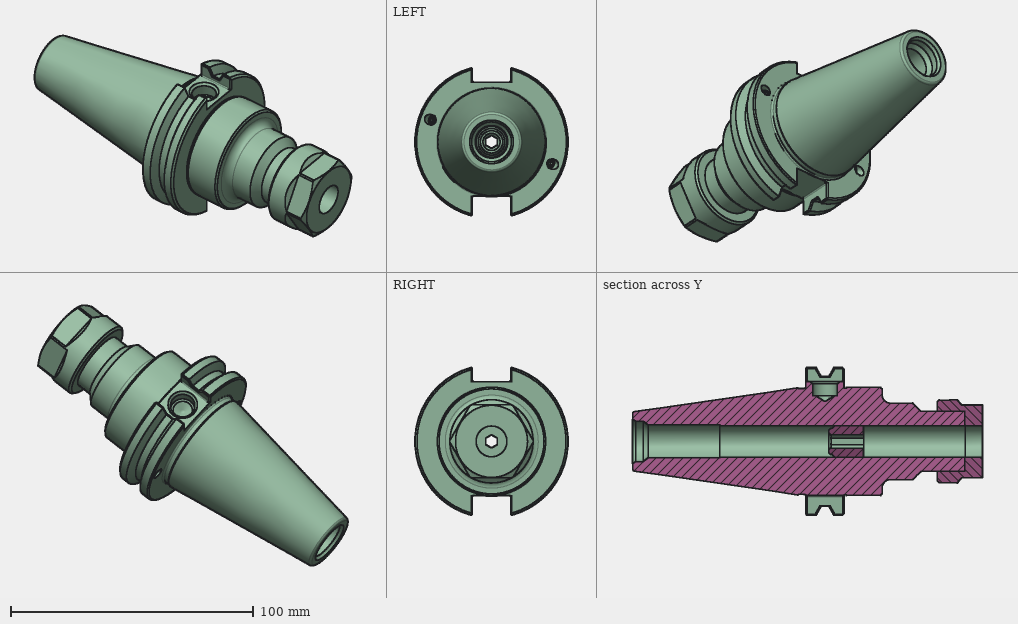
import cadquery as cq
import math

LENGTH = 144.5

TAPER_LENGTH = 68.2
GAUGE_RADIUS = 22.2
TAPER_RATIO = 7 / 24
SMALL_END_RADIUS = GAUGE_RADIUS - TAPER_LENGTH * TAPER_RATIO / 2
SMALL_END_FILLET = 1.0
RELIEF_START = 68.6
RELIEF_RADIUS = 22.0
RELIEF_FILLET = 0.7

FLANGE_START = 71.5
FLANGE_END = 87.4
FLANGE_RADIUS = 31.6
FLANGE_REAR_CHAMFER = 0.5
FLANGE_REAR_DROP = 0.7
FLANGE_FRONT_CHAMFER = 0.9
GROOVE_CENTER = 79.5
GROOVE_ROOT_RADIUS = 28.2
GROOVE_ROOT_WIDTH = 3.3
GROOVE_HALF_ANGLE = 30.0

SLOT_WIDTH = 15.7
SLOT_UPPER_FLOOR = 24.7
SLOT_LOWER_FLOOR = 22.4
SLOTS = ((1, SLOT_UPPER_FLOOR), (-1, SLOT_LOWER_FLOOR))
SLOT_CORNER_RADIUS = 0.5
SLOT_EDGE_CHAMFER = 0.6

POCKET_DIAMETER = 10.1
POCKET_MOUTH_DIAMETER = 12.1
POCKET_STEP_DIAMETER = 8.0
POCKET_DEPTH = 5.8
DRILL_TIP_HALF_ANGLE = 59.0

BODY_RELIEF_END = 88.3
BODY_RELIEF_RADIUS = 22.1
BODY_RADIUS = 22.4
BODY_END = 103.1
BODY_CHAMFER = 0.7
STEP_RADIUS = 15.9
STEP_FILLET = 3.3
STEP_END = 115.7
NECK_RADIUS = 25.0 / 2

BORE_DIAMETER = 13.5
PILOT_DIAMETER = 16.5
PILOT_END = 4.5
BORE_CONE_END = 6.5
BORE_STEP = 36.1
SCREW_BORE_DIAMETER = 12.7
MOUTH_DIAMETER = 18.0
MOUTH_CONE_DEPTH = 1.5

NUT_START = 125.7
NUT_RADIUS = 17.2
NUT_REAR_CHAMFER = 0.9
NUT_ACROSS_FLATS = 30.2
FLAT_START = 135.8
FLAT_RUNOUT = 1.7
LONG_FLAT_INDEX = 5
LONG_FLAT_EXTRA = 1.5
NUT_END_RADIUS = 14.9
NUT_END_CHAMFER = 1.3
NUT_THREAD_END = 137.2

STOP_START = 80.9
STOP_LENGTH = 14.5
STOP_POINT_DIAMETER = 11.0
STOP_POINT_LENGTH = 1.5
STOP_FACE_DIAMETER = 9.2
STOP_SINK_DIAMETER = 7.1
STOP_HEX = 4.6

COOLANT_DIAMETER = 4.2
COOLANT_RADIAL_PLACE = 26.9
COOLANT_ANGLE = 20.0
COOLANT_TILT = 30.0
SCREW_RECESS = 1.9
SCREW_LENGTH = 4.3
SCREW_CHAMFER = 0.5
SCREW_HEX = 2.0
SCREW_HEX_DEPTH = 2.0

HOLE_COUNT = 2
HEX_SIDES = 6


def hex_diameter(across_flats):
    """Circumscribed diameter of a hexagon."""
    return across_flats / math.cos(math.pi / HEX_SIDES)


def revolve_profile(profile):
    """Turn a closed (X, radius) profile about the X axis."""
    return profile.close().revolve(360, (0, 0, 0), (1, 0, 0))


def cylinder_x(start, end, diameter):
    """Cylinder on the X axis."""
    return cq.Workplane("YZ", origin=(start, 0, 0)).circle(diameter / 2).extrude(end - start)


def shank_blank():
    """Turned outside of the holder, from the taper to the threaded neck."""
    cylinder_start = BODY_END + STEP_FILLET
    fillet_mid = STEP_FILLET * math.sqrt(0.5)
    relief_drop = RELIEF_FILLET * math.sqrt(0.5)
    profile = (
        cq.Workplane("XY")
        .moveTo(0, 0)
        .lineTo(0, SMALL_END_RADIUS)
        .lineTo(TAPER_LENGTH, GAUGE_RADIUS)
        .lineTo(RELIEF_START, RELIEF_RADIUS)
        .lineTo(FLANGE_START - RELIEF_FILLET, RELIEF_RADIUS)
        .threePointArc(
            (FLANGE_START - RELIEF_FILLET + relief_drop, RELIEF_RADIUS + RELIEF_FILLET - relief_drop),
            (FLANGE_START, RELIEF_RADIUS + RELIEF_FILLET),
        )
        .lineTo(FLANGE_START, BODY_RELIEF_RADIUS)
        .lineTo(BODY_RELIEF_END, BODY_RELIEF_RADIUS)
        .lineTo(BODY_RELIEF_END, BODY_RADIUS)
        .lineTo(BODY_END - BODY_CHAMFER, BODY_RADIUS)
        .lineTo(BODY_END, BODY_RADIUS - BODY_CHAMFER)
        .lineTo(BODY_END, STEP_RADIUS + STEP_FILLET)
        .threePointArc(
            (cylinder_start - fillet_mid, STEP_RADIUS + STEP_FILLET - fillet_mid),
            (cylinder_start, STEP_RADIUS),
        )
        .lineTo(STEP_END, STEP_RADIUS)
        .lineTo(STEP_END + STEP_RADIUS - NECK_RADIUS, NECK_RADIUS)
        .lineTo(NUT_THREAD_END, NECK_RADIUS)
        .lineTo(NUT_THREAD_END, 0)
    )
    return revolve_profile(profile).faces("<X").edges().fillet(SMALL_END_FILLET)


def flange_blank():
    """Turned flange with its V groove and square rims."""
    root_half = GROOVE_ROOT_WIDTH / 2
    wall = (FLANGE_RADIUS - GROOVE_ROOT_RADIUS) * math.tan(math.radians(GROOVE_HALF_ANGLE))
    profile = (
        cq.Workplane("XY")
        .moveTo(FLANGE_START, 0)
        .lineTo(FLANGE_START, FLANGE_RADIUS)
        .lineTo(GROOVE_CENTER - root_half - wall, FLANGE_RADIUS)
        .lineTo(GROOVE_CENTER - root_half, GROOVE_ROOT_RADIUS)
        .lineTo(GROOVE_CENTER + root_half, GROOVE_ROOT_RADIUS)
        .lineTo(GROOVE_CENTER + root_half + wall, FLANGE_RADIUS)
        .lineTo(FLANGE_END, FLANGE_RADIUS)
        .lineTo(FLANGE_END, 0)
    )
    return revolve_profile(profile)


def rim_limit():
    """Chamfered envelope that bevels the two outer rims of the flange."""
    profile = (
        cq.Workplane("XY")
        .moveTo(FLANGE_START, 0)
        .lineTo(FLANGE_START, FLANGE_RADIUS - FLANGE_REAR_DROP)
        .lineTo(FLANGE_START + FLANGE_REAR_CHAMFER, FLANGE_RADIUS)
        .lineTo(FLANGE_END - FLANGE_FRONT_CHAMFER, FLANGE_RADIUS)
        .lineTo(FLANGE_END, FLANGE_RADIUS - FLANGE_FRONT_CHAMFER)
        .lineTo(FLANGE_END, 0)
    )
    return revolve_profile(profile)


def slot_edges(body, wall, side, floor):
    """Edges around one slot wall at Y = wall, without the edge along the floor."""
    margin = SLOT_CORNER_RADIUS / 10
    inner = floor + margin
    box = cq.selectors.BoxSelector(
        (FLANGE_START - margin, wall - margin, side * inner),
        (FLANGE_END + margin, wall + margin, side * FLANGE_RADIUS),
    )
    return body.edges(box)


def floor_edge(body, wall, side, floor):
    """Edge where one slot wall meets the slot floor."""
    return body.edges(cq.selectors.NearestToPointSelector((GROOVE_CENTER, wall, side * floor)))


def flange():
    """Grooved flange with its two drive slots, chamfered around every slot wall."""
    body = flange_blank()
    for side, floor in SLOTS:
        body = body.cut(drive_slot(side, floor))
        for wall in (-SLOT_WIDTH / 2, SLOT_WIDTH / 2):
            body = slot_edges(body, wall, side, floor).chamfer(SLOT_EDGE_CHAMFER)
            body = floor_edge(body, wall, side, floor).fillet(SLOT_CORNER_RADIUS)
    return body.intersect(rim_limit())


def drive_slot(side, floor):
    """Cutter for one slot; side is +1 for +Z and -1 for -Z."""
    depth = FLANGE_RADIUS - floor
    return (
        cq.Workplane("XY")
        .box(FLANGE_END - FLANGE_START, SLOT_WIDTH, depth)
        .translate(((FLANGE_START + FLANGE_END) / 2, 0, side * (floor + depth / 2)))
    )


def pocket():
    """Cutter for the chamfered blind hole in the upper slot floor."""
    radius = POCKET_DIAMETER / 2
    mouth = POCKET_MOUTH_DIAMETER / 2
    step = POCKET_STEP_DIAMETER / 2
    bottom = SLOT_UPPER_FLOOR - POCKET_DEPTH
    tip = bottom - step / math.tan(math.radians(DRILL_TIP_HALF_ANGLE))
    return (
        cq.Workplane("XZ", origin=(GROOVE_CENTER, 0, 0))
        .moveTo(0, SLOT_UPPER_FLOOR)
        .lineTo(mouth, SLOT_UPPER_FLOOR)
        .lineTo(radius, SLOT_UPPER_FLOOR - (mouth - radius))
        .lineTo(radius, bottom)
        .lineTo(step, bottom)
        .lineTo(0, tip)
        .close()
        .revolve(360, (0, 0, 0), (0, 1, 0))
    )


def axial_bore():
    """Cutter for the stepped bore through the holder."""
    profile = (
        cq.Workplane("XY")
        .moveTo(0, 0)
        .lineTo(0, MOUTH_DIAMETER / 2)
        .lineTo(MOUTH_CONE_DEPTH, PILOT_DIAMETER / 2)
        .lineTo(PILOT_END, PILOT_DIAMETER / 2)
        .lineTo(BORE_CONE_END, BORE_DIAMETER / 2)
        .lineTo(BORE_STEP, BORE_DIAMETER / 2)
        .lineTo(BORE_STEP, SCREW_BORE_DIAMETER / 2)
        .lineTo(NUT_THREAD_END, SCREW_BORE_DIAMETER / 2)
        .lineTo(NUT_THREAD_END, 0)
    )
    return revolve_profile(profile)


def coolant_plane(index, depth):
    """Plane across a coolant hole at a depth along its tilted axis."""
    turn = math.radians(COOLANT_ANGLE + 360 / HOLE_COUNT * index)
    tilt = math.radians(COOLANT_TILT)
    radial = cq.Vector(0, math.cos(turn), math.sin(turn))
    axis = cq.Vector(math.cos(tilt), 0, 0) - radial * math.sin(tilt)
    mouth = cq.Vector(FLANGE_START, 0, 0) + radial * COOLANT_RADIAL_PLACE
    return cq.Plane(mouth + axis * depth, xDir=radial.cross(axis), normal=axis)


def coolant_hole(index):
    """Cutter for one coolant hole, ending at the inner end of its set screw."""
    depth = SCREW_RECESS + SCREW_LENGTH
    return (
        cq.Workplane(coolant_plane(index, -COOLANT_DIAMETER))
        .circle(COOLANT_DIAMETER / 2)
        .extrude(depth + COOLANT_DIAMETER)
    )


def make_holder():
    holder = shank_blank().union(flange())
    holder = holder.cut(axial_bore()).cut(pocket())
    for index in range(HOLE_COUNT):
        holder = holder.cut(coolant_hole(index))
    return holder


def make_set_screw(index):
    """Set screw with a hexagon socket, seated in a coolant hole."""
    screw = (
        cq.Workplane(coolant_plane(index, SCREW_RECESS))
        .circle(COOLANT_DIAMETER / 2)
        .extrude(SCREW_LENGTH)
        .edges()
        .chamfer(SCREW_CHAMFER)
    )
    socket = (
        cq.Workplane(coolant_plane(index, SCREW_RECESS))
        .polygon(HEX_SIDES, hex_diameter(SCREW_HEX))
        .extrude(SCREW_HEX_DEPTH)
    )
    return screw.cut(socket)


def make_stop_screw():
    """Screw in the axial bore: stepped conical point, countersunk hexagon right through."""
    radius = SCREW_BORE_DIAMETER / 2
    point = STOP_POINT_DIAMETER / 2
    face = STOP_FACE_DIAMETER / 2
    sink = STOP_SINK_DIAMETER / 2
    shoulder = STOP_START + STOP_POINT_LENGTH
    profile = (
        cq.Workplane("XY")
        .moveTo(STOP_START + sink, 0)
        .lineTo(STOP_START, sink)
        .lineTo(STOP_START, face)
        .lineTo(STOP_START + point - face, point)
        .lineTo(shoulder, point)
        .lineTo(shoulder + radius - point, radius)
        .lineTo(STOP_START + STOP_LENGTH, radius)
        .lineTo(STOP_START + STOP_LENGTH, 0)
    )
    hexagon = (
        cq.Workplane("YZ", origin=(STOP_START, 0, 0))
        .transformed(rotate=(0, 0, 90))
        .polygon(HEX_SIDES, hex_diameter(STOP_HEX))
        .extrude(STOP_LENGTH)
    )
    return revolve_profile(profile).cut(hexagon)


def flat_cutter(start):
    """Cutter for the +Z flat of the nut from a given X, with its sloping run-out."""
    flat = NUT_ACROSS_FLATS / 2
    return (
        cq.Workplane("XZ")
        .moveTo(start - FLAT_RUNOUT, NUT_RADIUS)
        .lineTo(start, flat)
        .lineTo(LENGTH, flat)
        .lineTo(LENGTH, NUT_RADIUS)
        .close()
        .extrude(NUT_RADIUS, both=True)
    )


def make_nut():
    profile = (
        cq.Workplane("XY")
        .moveTo(NUT_START, 0)
        .lineTo(NUT_START, NUT_RADIUS - NUT_REAR_CHAMFER)
        .lineTo(NUT_START + NUT_REAR_CHAMFER, NUT_RADIUS)
        .lineTo(LENGTH - NUT_END_CHAMFER, NUT_RADIUS)
        .lineTo(LENGTH, NUT_END_RADIUS)
        .lineTo(LENGTH, 0)
    )
    nut = revolve_profile(profile)
    for index in range(HEX_SIDES):
        start = FLAT_START - (LONG_FLAT_EXTRA if index == LONG_FLAT_INDEX else 0)
        nut = nut.cut(flat_cutter(start).rotate((0, 0, 0), (1, 0, 0), 360 / HEX_SIDES * index))
    thread = cylinder_x(NUT_START, NUT_THREAD_END, 2 * NECK_RADIUS)
    opening = cylinder_x(NUT_THREAD_END, LENGTH, SCREW_BORE_DIAMETER)
    return nut.cut(thread).cut(opening)


holder = make_holder()
nut = make_nut()
stop_screw = make_stop_screw()
set_screws = [make_set_screw(index) for index in range(HOLE_COUNT)]

result = cq.Compound.makeCompound(
    [holder.val(), nut.val(), stop_screw.val(), *[screw.val() for screw in set_screws]]
)